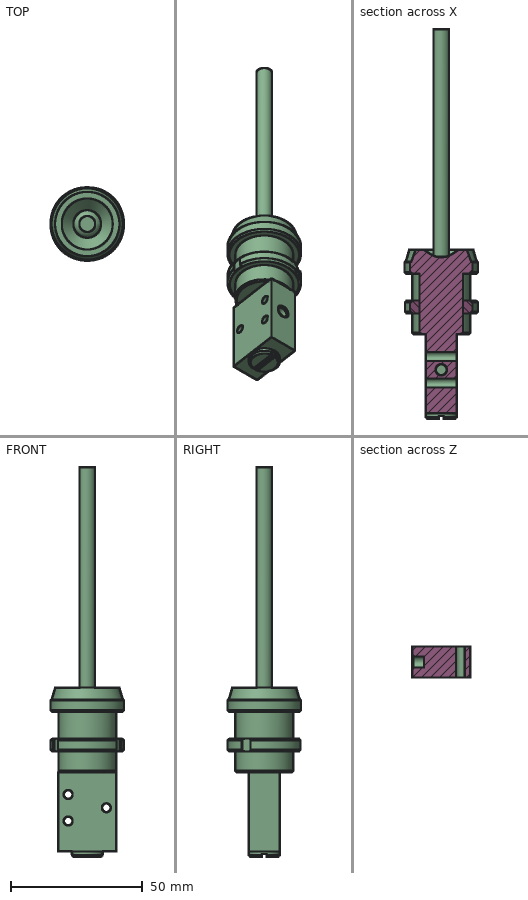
import cadquery as cq
import math

total_height = 148.0
flange_diameter = 28.0

plug_diameter = 11.8
plug_height = 2.0
plug_chamfer = 0.7
plug_slot_width = 1.8
plug_slot_depth = 1.0

block_width = 22.0
block_depth = 11.8
block_top = 32.1
block_middle = 18.6

cross_hole_diameter = 3.3
cross_hole_offset = 7.3
cross_hole_pitch = 10.0

port_diameter = 4.1
port_mouth_diameter = 5.2
port_depth = 4.5

barrel_diameter = block_width
barrel_chamfer = 0.6

head_bottom = 55.0
head_chamfer = 0.7
flange_top = 59.3
crown_bottom = 59.8
head_top = 64.2
crown_base_diameter = 27.1
crown_top_diameter = 24.4
dish_diameter = 19.4
dish_depth = 5.2
dome_diameter = 10.5
dome_height = 2.5
dome_bulge = 0.5

rod_diameter = 6.0

nut_bottom = 40.0
nut_height = 5.0
nut_chamfer = 0.9
notch_count = 3
notch_width = 3.8
notch_floor_radius = 13.2
first_notch_angle = 90.0


def bulged_point(start, end, bulge):
    """Midpoint of a chord, moved by the bulge to the left of the chord."""
    run = end[0] - start[0]
    rise = end[1] - start[1]
    length = math.hypot(run, rise)
    middle_r = (start[0] + end[0]) / 2 - bulge * rise / length
    middle_z = (start[1] + end[1]) / 2 + bulge * run / length
    return (middle_r, middle_z)


def make_turned_body():
    """Barrel, head, dish, dome and rod as one revolved profile."""
    barrel_radius = barrel_diameter / 2
    flange_radius = flange_diameter / 2
    rod_radius = rod_diameter / 2
    crown_base = (crown_base_diameter / 2, crown_bottom)
    crown_top = (crown_top_diameter / 2, head_top)
    dish_bottom = head_top - dish_depth
    dome_base = (dome_diameter / 2, dish_bottom)
    dome_top = (rod_radius, dish_bottom + dome_height)
    profile = (
        cq.Workplane("XZ")
        .moveTo(0, block_top)
        .lineTo(barrel_radius - barrel_chamfer, block_top)
        .lineTo(barrel_radius, block_top + barrel_chamfer)
        .lineTo(barrel_radius, head_bottom)
        .lineTo(flange_radius - head_chamfer, head_bottom)
        .lineTo(flange_radius, head_bottom + head_chamfer)
        .lineTo(flange_radius, flange_top)
        .lineTo(*crown_base)
        .lineTo(*crown_top)
        .lineTo(dish_diameter / 2, head_top)
        .lineTo(*dome_base)
        .threePointArc(bulged_point(dome_top, dome_base, dome_bulge), dome_top)
        .lineTo(rod_radius, total_height)
        .lineTo(0, total_height)
        .close()
    )
    return profile.revolve(360, (0, 0, 0), (0, 1, 0))


def make_block():
    """Mounting block with three cross holes and a blind side port."""
    block = (
        cq.Workplane("XY")
        .workplane(offset=plug_height)
        .rect(block_width, block_depth)
        .extrude(block_top - plug_height)
    )
    hole_places = [
        (-cross_hole_offset, block_middle + cross_hole_pitch / 2),
        (-cross_hole_offset, block_middle - cross_hole_pitch / 2),
        (cross_hole_offset, block_middle),
    ]
    cross_holes = (
        cq.Workplane("XZ")
        .pushPoints(hole_places)
        .circle(cross_hole_diameter / 2)
        .extrude(block_depth / 2, both=True)
    )
    mouth_chamfer = (port_mouth_diameter - port_diameter) / 2
    port = (
        cq.Workplane("XY", origin=(-block_width / 2, 0, block_middle))
        .lineTo(0, port_mouth_diameter / 2)
        .lineTo(mouth_chamfer, port_diameter / 2)
        .lineTo(port_depth, port_diameter / 2)
        .lineTo(port_depth, 0)
        .close()
        .revolve(360, (0, 0, 0), (1, 0, 0))
    )
    return block.cut(cross_holes).cut(port)


def make_plug():
    """Round end plug with a chamfered rim and a screwdriver slot along X."""
    plug = (
        cq.Workplane("XY")
        .circle(plug_diameter / 2)
        .extrude(plug_height)
        .faces("<Z")
        .chamfer(plug_chamfer)
    )
    slot = cq.Workplane("XY").rect(plug_diameter, plug_slot_width).extrude(plug_slot_depth)
    return plug.cut(slot)


def make_housing():
    return make_turned_body().union(make_block()).union(make_plug())


def make_ring_nut():
    """Chamfered ring that fits the barrel, with flat-floored notches in its rim."""
    outer_radius = flange_diameter / 2
    nut = (
        cq.Workplane("XY")
        .workplane(offset=nut_bottom)
        .circle(outer_radius)
        .extrude(nut_height)
        .edges()
        .chamfer(nut_chamfer)
    )
    bore = (
        cq.Workplane("XY")
        .workplane(offset=nut_bottom)
        .circle(barrel_diameter / 2)
        .extrude(nut_height)
    )
    nut = nut.cut(bore)
    notch = (
        cq.Workplane("XY")
        .box(outer_radius, notch_width, nut_height, centered=(False, True, False))
        .translate((notch_floor_radius, 0, nut_bottom))
    )
    for index in range(notch_count):
        angle = first_notch_angle + index * 360 / notch_count
        nut = nut.cut(notch.rotate((0, 0, 0), (0, 0, 1), angle))
    return nut


housing = make_housing()
ring_nut = make_ring_nut()

result = cq.Compound.makeCompound([housing.val(), ring_nut.val()])